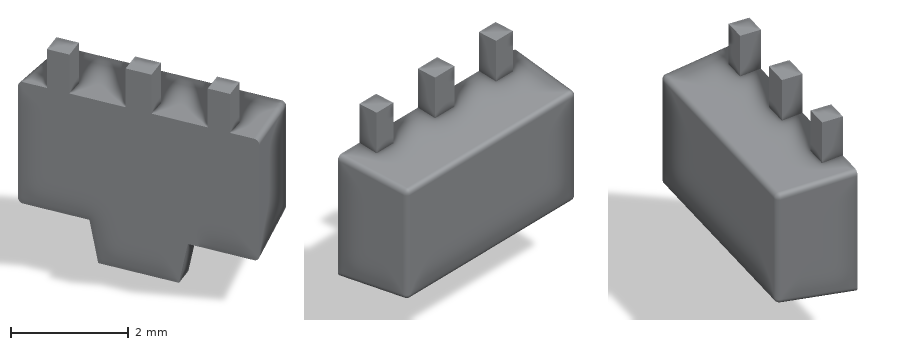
import cadquery as cq


body_width = 4.5
body_height = 2.5
body_depth = 1.5
draft_angle = 5.0
edge_radius = 0.1

metal_thickness = 0.4
lead_pitch = 1.5
outer_lead_width = 0.42
center_lead_width = 0.48
lead_length = 0.8
tab_length = 0.845
tab_root_width = 1.835
tab_tip_width = 1.508
embed_depth = 0.225

body_top = body_height / 2
body_bottom = -body_height / 2


def mounting_plane():
    """Sketch plane on the mounting face, with its normal along +Y and local y along Z."""
    return cq.Workplane(cq.Plane(origin=(0, 0, 0), xDir=(-1, 0, 0), normal=(0, 1, 0)))


def make_body():
    """Drafted block, rounded everywhere except around the mounting face."""
    block = mounting_plane().rect(body_width, body_height).extrude(body_depth, taper=draft_angle)
    return block.edges("not(<Y)").fillet(edge_radius)


def make_lead(x_center, width):
    """Straight rectangular lead rising from the top of the body."""
    return cq.Workplane("XY").box(
        width, metal_thickness, lead_length + embed_depth, centered=(True, False, False)
    ).translate((x_center, 0, body_top - embed_depth))


def make_tab():
    """Tab below the body, narrowing towards its tip."""
    root = tab_root_width / 2
    tip = tab_tip_width / 2
    tab_end = body_bottom - tab_length
    outline = [
        (-root, body_bottom + embed_depth),
        (-root, body_bottom),
        (-tip, tab_end),
        (tip, tab_end),
        (root, body_bottom),
        (root, body_bottom + embed_depth),
    ]
    return mounting_plane().polyline(outline).close().extrude(metal_thickness)


result = make_body().union(make_tab())
result = result.union(make_lead(0, center_lead_width))
for side in (-1, 1):
    result = result.union(make_lead(side * lead_pitch, outer_lead_width))